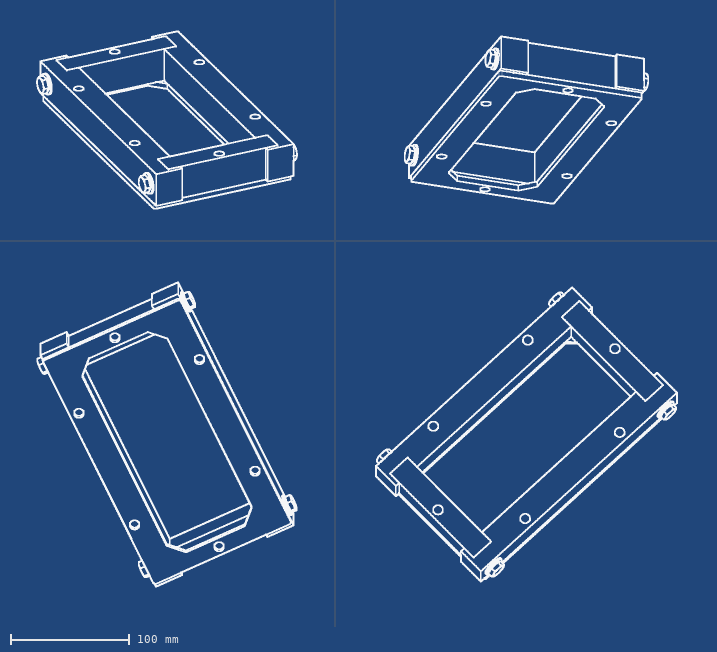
import cadquery as cq
import math

frame_length = 228.0
frame_width = 128.1
rail_width = 24.5
bar_height = 30.0
plate_thickness = 5.0

end_inset = 3.9
cross_bar_width = 20.5
pocket_wall = 13.0

hole_diameter = 8.2
rail_hole_x = 55.0
rail_hole_inset = 8.0
cross_hole_inset = 7.3

plate_corner_radius = 2.0
visible_chamfer = 6.4

bolt_end_distance = 14.0
bolt_projection = 6.5
flange_diameter = 18.0
flange_thickness = 1.4
neck_diameter = 11.5
neck_height = 0.7
hex_across_flats = 13.0
head_chamfer_angle = 30.0

outer_length = frame_length - 2 * end_inset
plate_end_width = 2 * cross_hole_inset
window_length = outer_length - 2 * plate_end_width
window_chamfer = visible_chamfer + cross_bar_width - plate_end_width
window_width = frame_width - 2 * rail_width
cross_bar_length = frame_width - 2 * pocket_wall
total_height = plate_thickness + bar_height

rail_y = (frame_width - rail_width) / 2
cross_bar_x = (outer_length - cross_bar_width) / 2
bolt_x = frame_length / 2 - bolt_end_distance
bolt_z = plate_thickness + bar_height / 2

rail_hole_y = frame_width / 2 - rail_hole_inset
cross_hole_x = outer_length / 2 - cross_hole_inset
hole_points = [(sx * rail_hole_x, sy * rail_hole_y) for sx in (-1, 1) for sy in (-1, 1)]
hole_points += [(sx * cross_hole_x, 0) for sx in (-1, 1)]


def block(length, width, height, x, y, z):
    """Box centred on (x, y) with its underside at z."""
    return cq.Workplane("XY").box(length, width, height, centered=(True, True, False)).translate((x, y, z))


def drill_mounting_holes(body):
    """Cut all the mounting holes through whichever of them the body contains."""
    drills = cq.Workplane("XY").pushPoints(hole_points).circle(hole_diameter / 2).extrude(total_height)
    return body.cut(drills)


def make_cross_bar(side):
    """Bar along Y whose ends sit in the pockets of both rails."""
    bar = block(cross_bar_width, cross_bar_length, bar_height, side * cross_bar_x, 0, plate_thickness)
    return drill_mounting_holes(bar)


def make_rail(side):
    """Long bar along X with a full-height pocket for each cross bar end."""
    rail = block(frame_length, rail_width, bar_height, 0, side * rail_y, plate_thickness)
    for end in (-1, 1):
        pocket = block(cross_bar_width, cross_bar_length, bar_height, end * cross_bar_x, 0, plate_thickness)
        rail = rail.cut(pocket)
    return drill_mounting_holes(rail)


def make_base_plate():
    """Flat ring under the frame; its window has chamfered corners."""
    plate = block(outer_length, frame_width, plate_thickness, 0, 0, 0).edges("|Z").fillet(plate_corner_radius)
    window = block(window_length, window_width, plate_thickness, 0, 0, 0).edges("|Z").chamfer(window_chamfer)
    return drill_mounting_holes(plate.cut(window))


def make_flange_bolt(end, side):
    """Hexagon head on a round flange, seated on a rail's outer face."""
    flange = cq.Workplane("XY").circle(flange_diameter / 2).extrude(flange_thickness)
    neck = flange.faces(">Z").workplane().circle(neck_diameter / 2).extrude(neck_height)

    hex_corner_radius = hex_across_flats / 2 / math.cos(math.pi / 6)
    hex_start = flange_thickness + neck_height
    hex_height = bolt_projection - hex_start
    corner_drop = (hex_corner_radius - hex_across_flats / 2) * math.tan(math.radians(head_chamfer_angle))
    hexagon = cq.Workplane("XY").polygon(6, 2 * hex_corner_radius).extrude(hex_height)
    trimming_envelope = (
        cq.Workplane("XZ")
        .moveTo(0, 0)
        .lineTo(hex_corner_radius, 0)
        .lineTo(hex_corner_radius, hex_height - corner_drop)
        .lineTo(hex_across_flats / 2, hex_height)
        .lineTo(0, hex_height)
        .close()
        .revolve(360, (0, 0, 0), (0, 1, 0))
    )
    head = hexagon.intersect(trimming_envelope).translate((0, 0, hex_start))

    bolt = neck.union(head)
    bolt = bolt.rotate((0, 0, 0), (1, 0, 0), -90 * side)
    return bolt.translate((end * bolt_x, side * frame_width / 2, bolt_z))


base_plate = make_base_plate()
rails = [make_rail(side) for side in (-1, 1)]
cross_bars = [make_cross_bar(side) for side in (-1, 1)]
flange_bolts = [make_flange_bolt(end, side) for end in (-1, 1) for side in (-1, 1)]

result = cq.Compound.makeCompound(
    [body.val() for body in [base_plate, *rails, *cross_bars, *flange_bolts]]
)